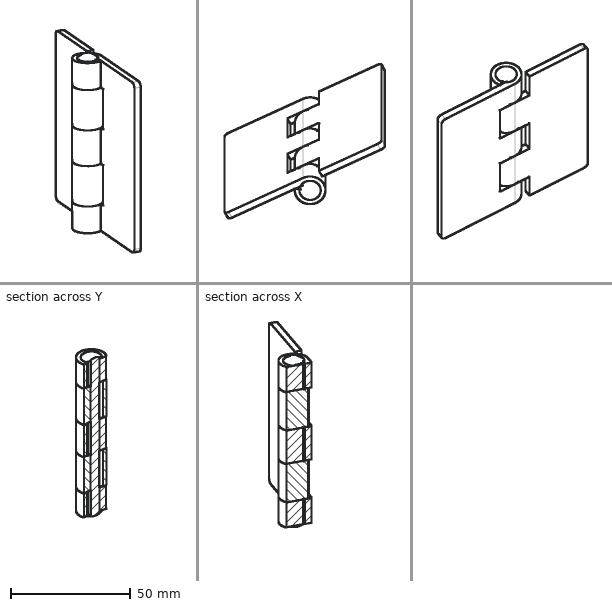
import cadquery as cq
import math

overall_width = 74.0
overall_height = 80.0
head_height = 2.0
head_radius = 4.5
barrel_radius = 6.5
leaf_thickness = 3.0
corner_radius = 2.0
clearance = 1.0
end_knuckle_length = 12.0
middle_knuckle_length = 16.0
curl_end_angle = 33.0

leaf_height = overall_height - 2 * head_height
half_width = overall_width / 2
half_height = leaf_height / 2
bore_radius = barrel_radius - leaf_thickness
leaf_edge = barrel_radius + clearance
inner_knuckle_length = (leaf_height - 2 * end_knuckle_length - middle_knuckle_length) / 2

knuckle_lengths = [
    end_knuckle_length,
    inner_knuckle_length,
    middle_knuckle_length,
    inner_knuckle_length,
    end_knuckle_length,
]
knuckle_spans = [
    (-half_height + sum(knuckle_lengths[:index]), length)
    for index, length in enumerate(knuckle_lengths)
]


def make_plate():
    """Flat plate on the +X side with rounded outer corners."""
    return (
        cq.Workplane("XY")
        .box(half_width - leaf_edge, leaf_thickness, leaf_height, centered=(False, False, True))
        .translate((leaf_edge, bore_radius, 0))
        .edges("|Y and >X")
        .fillet(corner_radius)
    )


def make_knuckle(bottom, length):
    """Strip from the plate curled around the bore, with a slit beside its radial free end."""
    angle = math.radians(curl_end_angle)
    meeting_x = math.sqrt(barrel_radius**2 - bore_radius**2)
    curl = (
        cq.Workplane("XY", origin=(0, 0, bottom))
        .moveTo(leaf_edge, barrel_radius)
        .lineTo(0, barrel_radius)
        .threePointArc((-barrel_radius, 0), (meeting_x, bore_radius))
        .lineTo(leaf_edge, bore_radius)
        .close()
        .extrude(length)
    )
    bore_and_slit = (
        cq.Workplane("XY", origin=(0, 0, bottom))
        .moveTo(bore_radius / math.tan(angle), bore_radius)
        .lineTo(0, bore_radius)
        .threePointArc(
            (-bore_radius, 0), (bore_radius * math.cos(angle), bore_radius * math.sin(angle))
        )
        .close()
        .extrude(length)
    )
    return curl.cut(bore_and_slit)


def make_leaf(spans):
    """One leaf on the +X side, carrying a knuckle on each given span."""
    leaf = make_plate()
    for bottom, length in spans:
        leaf = leaf.union(make_knuckle(bottom, length))
    return leaf


def make_pin():
    """Pin filling the bore, with a domed head against each end of the barrel."""
    dome_radius = (head_radius**2 + head_height**2) / (2 * head_height)
    half_angle = math.asin(head_radius / dome_radius) / 2
    dome_mid_x = dome_radius * math.sin(half_angle)
    dome_mid_z = overall_height / 2 - dome_radius * (1 - math.cos(half_angle))
    return (
        cq.Workplane("XZ")
        .moveTo(0, -overall_height / 2)
        .threePointArc((dome_mid_x, -dome_mid_z), (head_radius, -half_height))
        .lineTo(bore_radius, -half_height)
        .lineTo(bore_radius, half_height)
        .lineTo(head_radius, half_height)
        .threePointArc((dome_mid_x, dome_mid_z), (0, overall_height / 2))
        .close()
        .revolve(360, (0, 0, 0), (0, 1, 0))
    )


right_leaf = make_leaf(knuckle_spans[0::2])
left_leaf = make_leaf(knuckle_spans[1::2]).mirror("YZ")
pin = make_pin()

result = cq.Compound.makeCompound([right_leaf.val(), left_leaf.val(), pin.val()])